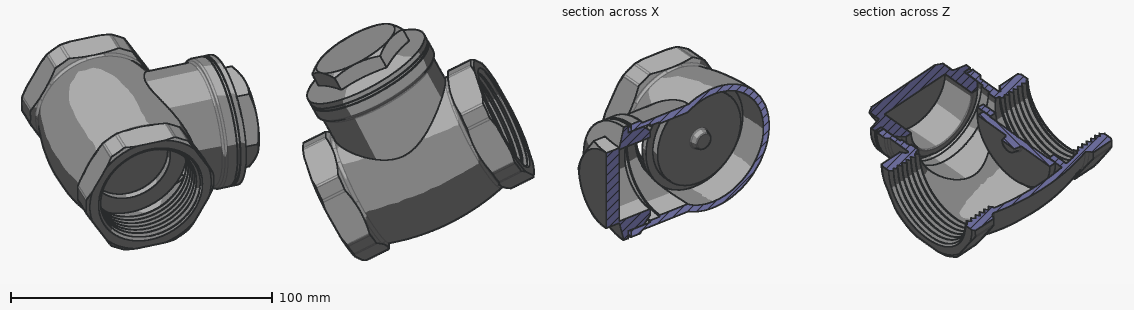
import cadquery as cq
import math


length = 74.0
half_length = length / 2
barrel_middle_radius = 27.0
barrel_end_x = 24.0
barrel_end_radius = 23.7
barrel_arc_radius = (barrel_end_x**2 + (barrel_middle_radius - barrel_end_radius) ** 2) / (
    2 * (barrel_middle_radius - barrel_end_radius)
)

hex_flat_distance = 24.0
hex_corner_distance = 25.9
hex_edge_fillet = 2.0
hex_root_fillet = 1.3
hex_root_x = 25.0
chamfer_slope = math.tan(math.radians(30))
face_chamfer_radius = 24.7

thread_pitch = 25.4 / 11
thread_major_radius = 41.91 / 2
thread_minor_radius = 38.952 / 2
thread_end_x = 22.2
thread_groove_width = 0.9 * thread_pitch
thread_runout = 1.3 * thread_pitch
thread_runin = 0.5
mouth_radius = 21.15
sleeve_radius = 22.0

chamber_middle_radius = 24.0
chamber_end_radius = 21.5
seat_x = 12.0
seat_thickness = 3.0
seat_hole_radius = 16.0

neck_radius = 24.2
neck_bore_radius = 20.5
relief_radius = 21.2
relief_y = 25.8
socket_radius = 22.0
socket_y = 30.4
flange_radius = 25.5
flange_underside_low_y = 33.7
flange_underside_high_y = 35.6
flange_top_y = 39.65

gasket_radius = 24.9
gasket_thickness = 1.27

cap_rim_bottom_y = flange_top_y + gasket_thickness
cap_rim_top_y = 43.15
cap_cone_top_y = 45.3
cap_top_y = 51.5
cap_hex_flat_distance = 17.0
cap_plug_bottom_y = 30.25
cap_plug_chamfer = 3.0
cap_hollow_radius = 16.0
cap_hollow_top_y = 45.0
cap_hollow_fillet = 0.5

disc_radius = 20.0
disc_thickness = 3.0
hub_base_radius = 4.2
hub_tip_radius = 3.5
hub_height = 3.0
hub_fillet = 0.5


def revolve_about_x(outline):
    return outline.close().revolve(360, (0, 0, 0), (1, 0, 0))


def revolve_about_y(outline):
    return outline.close().revolve(360, (0, 0, 0), (0, 1, 0))


def hexagon(plane, flat_distance, height):
    return plane.polygon(6, 4 * flat_distance / math.sqrt(3)).extrude(height)


def barrel_radius_at(x):
    arc_center = barrel_middle_radius - barrel_arc_radius
    return arc_center + math.sqrt(barrel_arc_radius**2 - x**2)


def barrel_shape(middle_radius, end_radius, end_x):
    return revolve_about_x(
        cq.Workplane("XY")
        .moveTo(-end_x, 0)
        .lineTo(-end_x, end_radius)
        .threePointArc((0, middle_radius), (end_x, end_radius))
        .lineTo(end_x, 0)
    )


def hex_end():
    """Hexagon with flattened, rounded corners and a conical chamfer on both faces, at +X."""
    plane = cq.Workplane("YZ", origin=(barrel_end_x, 0, 0))
    bar_length = half_length - barrel_end_x
    bar = hexagon(plane, hex_flat_distance, bar_length)
    corner_trim = hexagon(plane.transformed(rotate=(0, 0, 30)), hex_corner_distance, bar_length)
    bar = bar.intersect(corner_trim).edges("|X").fillet(hex_edge_fillet)

    root_radius = barrel_radius_at(hex_root_x)
    outer_radius = hex_corner_distance + 1
    inner_chamfer = (outer_radius - root_radius) * chamfer_slope
    face_chamfer = (outer_radius - face_chamfer_radius) * chamfer_slope
    cones = revolve_about_x(
        cq.Workplane("XY")
        .moveTo(hex_root_x, 0)
        .lineTo(hex_root_x, root_radius)
        .lineTo(hex_root_x + inner_chamfer, outer_radius)
        .lineTo(half_length - face_chamfer, outer_radius)
        .lineTo(half_length, face_chamfer_radius)
        .lineTo(half_length, 0)
    )
    return bar.intersect(cones)


def neck():
    """Bonnet neck with its flange; two equal arcs form the S-shaped flange underside."""
    arcs_meet = (
        (neck_radius + flange_radius) / 2,
        (flange_underside_low_y + flange_underside_high_y) / 2,
    )
    return revolve_about_y(
        cq.Workplane("XY")
        .lineTo(neck_radius, 0)
        .lineTo(neck_radius, flange_underside_low_y)
        .tangentArcPoint(arcs_meet, relative=False)
        .tangentArcPoint((flange_radius, flange_underside_high_y), relative=False)
        .lineTo(flange_radius, flange_top_y)
        .lineTo(0, flange_top_y)
    )


def neck_bore():
    """Stepped bore of the neck, widening toward the cap."""
    return revolve_about_y(
        cq.Workplane("XY")
        .lineTo(neck_bore_radius, 0)
        .lineTo(neck_bore_radius, relief_y)
        .lineTo(relief_radius, relief_y)
        .lineTo(relief_radius, socket_y)
        .lineTo(socket_radius, socket_y)
        .lineTo(socket_radius, flange_top_y)
        .lineTo(0, flange_top_y)
    )


def thread_groove():
    """V groove on a right-hand helix that runs out past both ends of the +X bore."""
    start_x = thread_end_x - thread_runout
    run = half_length + thread_runout - start_x
    inside_radius = thread_minor_radius - thread_runin
    half_width = thread_groove_width / 2
    path = cq.Wire.makeHelix(thread_pitch, run, thread_minor_radius)
    groove = (
        cq.Workplane("XZ")
        .moveTo(inside_radius, -half_width)
        .lineTo(thread_minor_radius, -half_width)
        .lineTo(thread_major_radius, 0)
        .lineTo(thread_minor_radius, half_width)
        .lineTo(inside_radius, half_width)
        .close()
        .sweep(cq.Workplane(path), isFrenet=True)
    )
    return groove.rotate((0, 0, 0), (0, 1, 0), 90).translate((start_x, 0, 0))


def threaded_sleeve():
    """Inner layer of the +X end, with its thread and a 45 degree mouth chamfer."""
    sleeve = revolve_about_x(
        cq.Workplane("XY")
        .moveTo(thread_end_x, thread_minor_radius)
        .lineTo(half_length - (mouth_radius - thread_minor_radius), thread_minor_radius)
        .lineTo(half_length, mouth_radius)
        .lineTo(half_length, sleeve_radius)
        .lineTo(thread_end_x, sleeve_radius)
    )
    return sleeve.cut(thread_groove())


def make_body():
    outside = barrel_shape(barrel_middle_radius, barrel_radius_at(hex_root_x), hex_root_x)
    for turn in (0, 180):
        outside = outside.union(hex_end().rotate((0, 0, 0), (0, 0, 1), turn))
    root_edges = cq.selectors.BoxSelector(
        (-hex_root_x - 0.1, -barrel_middle_radius, -barrel_middle_radius),
        (hex_root_x + 0.1, barrel_middle_radius, barrel_middle_radius),
    )
    outside = outside.edges(root_edges).edges("%CIRCLE").fillet(hex_root_fillet)
    outside = outside.union(neck())

    chamber = barrel_shape(chamber_middle_radius, chamber_end_radius, thread_end_x)
    seat_slab = (
        cq.Workplane("YZ", origin=(seat_x, 0, 0))
        .circle(barrel_middle_radius)
        .circle(seat_hole_radius)
        .extrude(seat_thickness)
    )
    seat = chamber.intersect(seat_slab)
    sleeve_seat = (
        cq.Workplane("YZ", origin=(thread_end_x, 0, 0))
        .circle(sleeve_radius)
        .extrude(half_length - thread_end_x)
    )
    sleeve = threaded_sleeve()
    body = outside.cut(chamber).cut(neck_bore()).union(seat)
    for turn in (0, 180):
        body = body.cut(sleeve_seat.rotate((0, 0, 0), (0, 0, 1), turn))
        body = body.union(sleeve.rotate((0, 0, 0), (0, 0, 1), turn))
    return body


def make_gasket():
    return (
        cq.Workplane("XZ", origin=(0, flange_top_y, 0))
        .circle(gasket_radius)
        .circle(socket_radius)
        .extrude(-gasket_thickness)
    )


def make_cap():
    turned = revolve_about_y(
        cq.Workplane("XY")
        .moveTo(0, cap_plug_bottom_y)
        .lineTo(socket_radius - cap_plug_chamfer, cap_plug_bottom_y)
        .lineTo(socket_radius, cap_plug_bottom_y + cap_plug_chamfer)
        .lineTo(socket_radius, cap_rim_bottom_y)
        .lineTo(flange_radius, cap_rim_bottom_y)
        .lineTo(flange_radius, cap_rim_top_y)
        .lineTo(cap_hex_flat_distance, cap_cone_top_y)
        .lineTo(0, cap_cone_top_y)
    )
    hex_plane = cq.Workplane("XZ", origin=(0, cap_rim_top_y, 0))
    hex_head = hexagon(hex_plane, cap_hex_flat_distance, cap_rim_top_y - cap_top_y)
    chamfer_drop = (flange_radius - cap_hex_flat_distance) * chamfer_slope
    chamfer_cone = revolve_about_y(
        cq.Workplane("XY")
        .moveTo(0, cap_rim_top_y)
        .lineTo(flange_radius, cap_rim_top_y)
        .lineTo(flange_radius, cap_top_y - chamfer_drop)
        .lineTo(cap_hex_flat_distance, cap_top_y)
        .lineTo(0, cap_top_y)
    )
    hollow = (
        cq.Workplane("XZ", origin=(0, cap_plug_bottom_y, 0))
        .circle(cap_hollow_radius)
        .extrude(cap_plug_bottom_y - cap_hollow_top_y)
    )
    cap = turned.union(hex_head.intersect(chamfer_cone)).cut(hollow)
    hollow_rim = cq.selectors.RadiusNthSelector(0)
    return cap.faces("<Y").edges("%CIRCLE").edges(hollow_rim).fillet(cap_hollow_fillet)


def make_disc():
    """Disc resting on the seat, with a tapered hub filleted at its base and tip."""
    front_x = seat_x - disc_thickness
    tip_x = front_x - hub_height
    disc = revolve_about_x(
        cq.Workplane("XY")
        .moveTo(tip_x, 0)
        .lineTo(tip_x, hub_tip_radius)
        .lineTo(front_x, hub_base_radius)
        .lineTo(front_x, disc_radius)
        .lineTo(seat_x, disc_radius)
        .lineTo(seat_x, 0)
    )
    reach = hub_base_radius + hub_fillet
    around_hub = cq.selectors.BoxSelector(
        (tip_x - hub_fillet, -reach, -reach),
        (front_x + hub_fillet, reach, reach),
        boundingbox=True,
    )
    return disc.edges(around_hub).edges("%CIRCLE").fillet(hub_fillet)


body = make_body()
gasket = make_gasket()
cap = make_cap()
disc = make_disc()
result = cq.Compound.makeCompound([body.val(), gasket.val(), cap.val(), disc.val()])